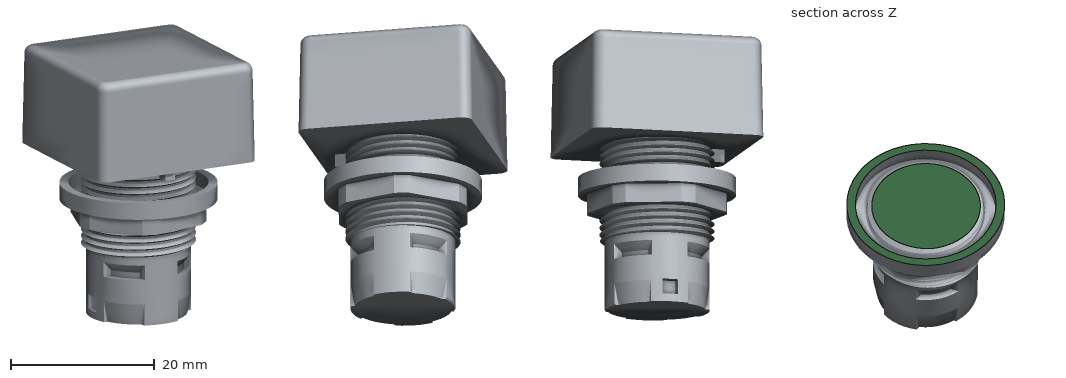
import cadquery as cq
import math

total_height = 37.25
cap_bottom_z = 23.15
collar_top_z = 18.7
collar_bottom_z = 16.3
hex_bottom_z = 13.7
thread_bottom_z = 9.75

cap_side = 24.75
cap_draft_angle = 1
cap_corner_radius = 1.53
cap_top_fillet = 1.2

barrel_diameter = 14.65
thread_diameter = 16
thread_pitch = thread_diameter / 16
thread_root_diameter = 14.83
thread_flank_angle = 30
thread_overlap = 0.07

collar_diameter = 22.0
collar_bore_diameter = 16.5
collar_recess_diameter = 19.5
collar_recess_depth = 2.05
hex_across_flats = 17.85
hex_corner_diameter = 19.5
hex_rotation = 12

key_reach = 9.5
key_width = 1.5
key_bottom_z = 21.3

diagonal_angles = [45, 135, 225, 315]
window_bottom_z = 6.55
window_top_z = 8.65
window_floor_top_z = 7.4
window_floor_radius = 6.35
window_width = 6.07
window_floor_width = 4.25
ramp_width = 5.9
ramp_floor_width = 4.9
ramp_top_z = 3.0
ramp_bottom_radius = 6.8

lead_in_width = 5.35
lead_in_top_z = 0.25
lead_in_bottom_radius = 7.15

socket_width = 2.25
socket_bottom_z = 1.08
socket_top_z = 3.15
socket_depth = 1.5

barrel_radius = barrel_diameter / 2
cutter_margin = 0.75
cutter_radius = barrel_radius + cutter_margin


def disc(diameter, bottom_z, top_z):
    """Upright cylinder on the Z axis."""
    return cq.Workplane("XY").workplane(offset=bottom_z).circle(diameter / 2).extrude(top_z - bottom_z)


def turned(shape, angle):
    """Shape rotated about the Z axis."""
    return shape.rotate((0, 0, 0), (0, 0, 1), angle)


def make_cap():
    cap = (
        cq.Workplane("XY")
        .workplane(offset=cap_bottom_z)
        .rect(cap_side, cap_side)
        .extrude(total_height - cap_bottom_z, taper=cap_draft_angle)
    )
    cap = cap.edges("not #Z").fillet(cap_corner_radius)
    return cap.faces(">Z").edges().fillet(cap_top_fillet)


def make_thread():
    """Right-hand external thread, swept along a helix and trimmed flush at both ends."""
    root_radius = thread_root_diameter / 2
    crest_radius = thread_diameter / 2
    inner_radius = root_radius - thread_overlap
    half_base = (crest_radius - inner_radius) * math.tan(math.radians(thread_flank_angle))
    start_z = thread_bottom_z - 1.5 * thread_pitch
    length = cap_bottom_z - thread_bottom_z + 2 * thread_pitch
    helix = cq.Wire.makeHelix(thread_pitch, length, root_radius, cq.Vector(0, 0, start_z))
    ridge = (
        cq.Workplane("XZ")
        .moveTo(inner_radius, start_z - half_base)
        .lineTo(crest_radius, start_z)
        .lineTo(inner_radius, start_z + half_base)
        .close()
        .sweep(cq.Workplane(helix), isFrenet=True)
    )
    trim = disc(collar_diameter, thread_bottom_z, cap_bottom_z)
    core = disc(thread_root_diameter, thread_bottom_z, cap_bottom_z)
    return core.union(ridge.intersect(trim))


def make_nut():
    collar = disc(collar_diameter, collar_bottom_z, collar_top_z)
    bore = disc(collar_bore_diameter, collar_bottom_z, collar_top_z)
    recess = disc(collar_recess_diameter, collar_top_z - collar_recess_depth, collar_top_z)
    hexagon = (
        cq.Workplane("XY")
        .workplane(offset=hex_bottom_z)
        .polygon(6, hex_across_flats, circumscribed=True)
        .extrude(collar_bottom_z - hex_bottom_z)
    )
    corner_round = disc(hex_corner_diameter, hex_bottom_z, collar_bottom_z)
    hex_grip = turned(hexagon, hex_rotation).intersect(corner_round)
    return collar.cut(bore).cut(recess).union(hex_grip)


def make_key():
    return (
        cq.Workplane("XY")
        .workplane(offset=key_bottom_z)
        .center(key_reach / 2, 0)
        .rect(key_reach, key_width)
        .extrude(cap_bottom_z - key_bottom_z)
    )


def make_splay(floor_radius, mouth_width, floor_width):
    """Upright prism facing +X that narrows from the barrel surface to a given floor radius."""
    half_mouth = mouth_width / 2
    half_floor = floor_width / 2
    mouth_x = math.sqrt(barrel_radius**2 - half_mouth**2)
    floor_x = math.sqrt(floor_radius**2 - half_floor**2)
    return (
        cq.Workplane("XY")
        .moveTo(floor_x, -half_floor)
        .lineTo(mouth_x, -half_mouth)
        .lineTo(cutter_radius, -half_mouth)
        .lineTo(cutter_radius, half_mouth)
        .lineTo(mouth_x, half_mouth)
        .lineTo(floor_x, half_floor)
        .close()
        .extrude(thread_bottom_z)
    )


def make_window():
    """Cutter for a window with a sloping ceiling and splayed sides, facing +X."""
    slope = (window_top_z - window_floor_top_z) / (barrel_radius - window_floor_radius)
    ring = (
        cq.Workplane("XZ")
        .moveTo(window_floor_radius, window_bottom_z)
        .lineTo(cutter_radius, window_bottom_z)
        .lineTo(cutter_radius, window_top_z + slope * cutter_margin)
        .lineTo(window_floor_radius, window_floor_top_z)
        .close()
        .revolve(360, (0, 0, 0), (0, 1, 0))
    )
    splay = make_splay(window_floor_radius, window_width, window_floor_width)
    return ring.intersect(splay)


def make_lead_in(bottom_radius, top_z, mouth_width, floor_width):
    """Cutter for a conical lead-in that narrows the bottom of the barrel, facing +X."""
    ring = (
        cq.Workplane("XZ")
        .moveTo(bottom_radius, 0)
        .lineTo(cutter_radius, 0)
        .lineTo(cutter_radius, top_z)
        .lineTo(barrel_radius, top_z)
        .close()
        .revolve(360, (0, 0, 0), (0, 1, 0))
    )
    return ring.intersect(make_splay(bottom_radius, mouth_width, floor_width))


def make_socket():
    """Cutter for the square socket, facing -Y."""
    return (
        cq.Workplane("XY")
        .workplane(offset=socket_bottom_z)
        .center(0, -barrel_radius)
        .rect(socket_width, 2 * socket_depth)
        .extrude(socket_top_z - socket_bottom_z)
    )


def make_barrel():
    barrel = disc(barrel_diameter, 0, collar_bottom_z)
    ramp = make_lead_in(ramp_bottom_radius, ramp_top_z, ramp_width, ramp_floor_width)
    window = make_window()
    for angle in diagonal_angles:
        barrel = barrel.cut(turned(window, angle)).cut(turned(ramp, angle))
    lead_in = make_lead_in(lead_in_bottom_radius, lead_in_top_z, lead_in_width, lead_in_width)
    return barrel.cut(turned(lead_in, 180)).cut(make_socket())


result = make_cap().union(make_key()).union(make_thread()).union(make_nut()).union(make_barrel())